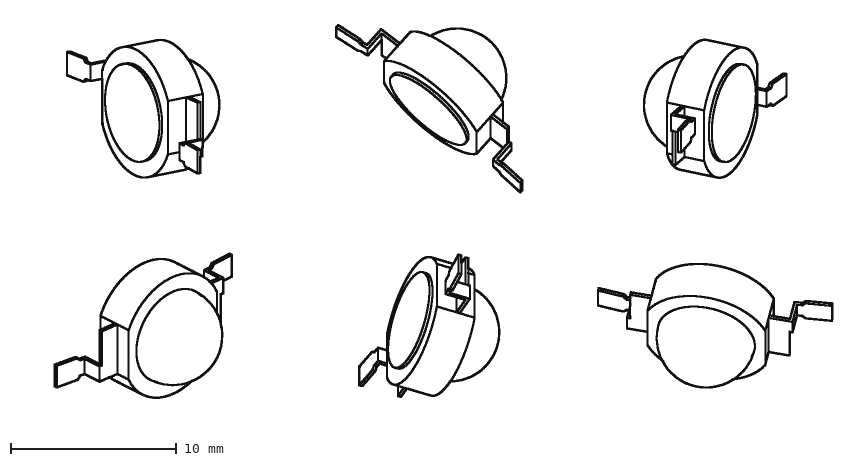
import cadquery as cq
import math

body_radius = 4.0
body_depth = 2.5
flat_offset = 3.63
slug_radius = 3.002
slug_depth = 0.2
dome_radius = 3.0

lead_half_span = 7.2
sheet = 0.2
shelf_setback = 1.0
leg_inner_x = 4.9
leg_outer_x = leg_inner_x + sheet
shelf_half_height = math.sqrt(body_radius**2 - flat_offset**2)
shelf_rear_y = body_depth - shelf_setback
shelf_front_y = shelf_rear_y - sheet
foot_drop = 0.2

neck_width = 1.05
pad_flare = 0.22
neck_end_x = 5.41
pad_start_x = 5.6
neck_top = shelf_half_height
neck_bottom = neck_top - neck_width
pad_top = neck_top + pad_flare
pad_bottom = neck_bottom - pad_flare


def cylinder_y(radius, start_y, end_y):
    plane = cq.Plane(origin=(0, start_y, 0), xDir=(1, 0, 0), normal=(0, 1, 0))
    return cq.Workplane(plane).circle(radius).extrude(end_y - start_y)


def make_body():
    disc = cylinder_y(body_radius, 0, body_depth)
    flats = cq.Workplane("XY").box(2 * flat_offset, 2 * body_depth, 2 * body_radius)
    return disc.intersect(flats)


def make_dome():
    arc_middle = dome_radius * math.sqrt(0.5)
    return (
        cq.Workplane("XY")
        .moveTo(0, body_depth)
        .lineTo(dome_radius, body_depth)
        .threePointArc((arc_middle, body_depth + arc_middle), (0, body_depth + dome_radius))
        .close()
        .revolve(360, (0, 0, 0), (0, 1, 0))
    )


def make_left_lead():
    shelf = cq.Workplane("XY").box(
        leg_inner_x - flat_offset, sheet, 2 * shelf_half_height, centered=False
    ).translate((-leg_inner_x, shelf_front_y, -shelf_half_height))

    foot_slope = foot_drop / (lead_half_span - leg_inner_x)
    foot_root_y = sheet - foot_slope * sheet
    strip = (
        cq.Workplane("XY")
        .moveTo(-flat_offset, shelf_rear_y)
        .lineTo(-leg_outer_x, shelf_rear_y)
        .lineTo(-leg_outer_x, foot_root_y)
        .lineTo(-lead_half_span, sheet - foot_drop)
        .lineTo(-lead_half_span, -foot_drop)
        .lineTo(-leg_inner_x, 0)
        .lineTo(-leg_inner_x, shelf_front_y)
        .lineTo(-flat_offset, shelf_front_y)
        .close()
        .extrude(body_radius, both=True)
    )

    outline = (
        cq.Workplane("XZ")
        .polyline([
            (-flat_offset, neck_top),
            (-neck_end_x, neck_top),
            (-pad_start_x, pad_top),
            (-lead_half_span, pad_top),
            (-lead_half_span, pad_bottom),
            (-pad_start_x, pad_bottom),
            (-neck_end_x, neck_bottom),
            (-flat_offset, neck_bottom),
        ])
        .close()
        .extrude(body_depth, both=True)
    )
    return shelf.union(strip.intersect(outline))


slug = cylinder_y(slug_radius, -slug_depth, 0)
left_lead = make_left_lead()
right_lead = left_lead.rotate((0, 0, 0), (0, 1, 0), 180)

result = make_body().union(slug).union(make_dome()).union(left_lead).union(right_lead)